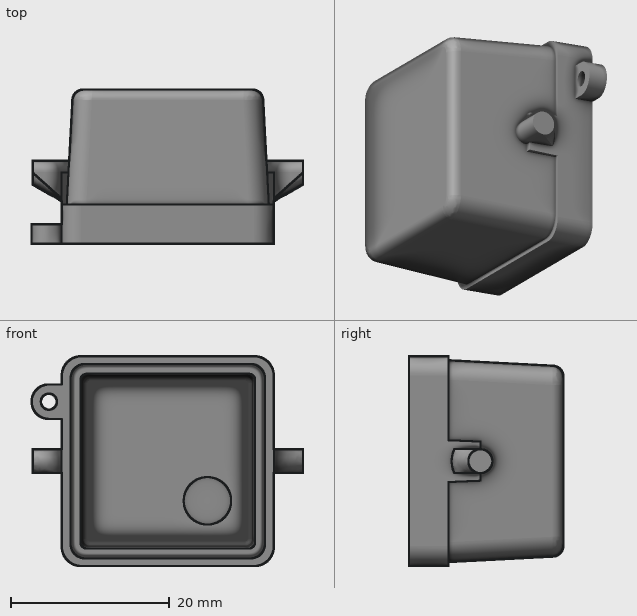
import cadquery as cq

depth = 19.5
rim_width = 26.8
rim_height = 26.5
rim_depth = 5.0
rim_corner = 2.5
mouth_size = 24.52
mouth_corner = 1.8

body_size = 25.48
body_draft = 3.0
body_corner = 2.5
body_back_fillet = 1.45

recess_depth = 3.25
pocket_size = 22.05
pocket_draft = 1.5
pocket_corner = 0.85
pocket_fillet = 0.55
floor_thickness = 2.25
mark_diameter = 6.0
mark_offset = 5.0
mark_depth = 0.3

pin_radius = 1.5
pin_tip_x = 17.05
pin_y = 9.0
pad_half_height = 2.45
pad_base_half_height = 2.65
web_root_y = 5.38
web_root_crown = 0.35
web_tip_flank = 0.017

lug_x = -15.0
lug_z = 7.5
lug_radius = 2.2
lug_hole_diameter = 2.0
lug_thickness = 2.5


def section(y):
    """Workplane at depth y whose extrusions go towards +Y; its local x is -X."""
    return cq.Workplane(cq.Plane(origin=(0, y, 0), xDir=(-1, 0, 0), normal=(0, 1, 0)))


def rounded_block(width, height, corner, start, length, taper=0.0):
    """Block along +Y, narrowing by the taper angle, with corners of constant radius."""
    block = section(start).rect(width, height).extrude(length, taper=taper)
    return block.edges("not(#Y)").fillet(corner)


def make_pin():
    """Right-hand pin with its pad and tapering web, reaching in to the cover wall."""
    pad_x = rim_width / 2
    pad_inner_x = pocket_size / 2
    pad = (
        cq.Workplane("YZ", origin=(pad_inner_x, 0, 0))
        .moveTo(rim_depth, -pad_base_half_height)
        .lineTo(pin_y, -pad_half_height)
        .lineTo(pin_y, pad_half_height)
        .lineTo(rim_depth, pad_base_half_height)
        .close()
        .extrude(pad_x - pad_inner_x)
    )
    pin = (
        cq.Workplane("YZ", origin=(pad_inner_x, 0, 0))
        .center(pin_y, 0)
        .circle(pin_radius)
        .extrude(pin_tip_x - pad_inner_x)
    )
    root_flank_y = web_root_y + web_root_crown
    tip_flank_y = pin_y - web_tip_flank
    web = (
        cq.Workplane("YZ", origin=(pad_x, 0, 0))
        .moveTo(pin_y, -pin_radius)
        .lineTo(pin_y, pin_radius)
        .lineTo(root_flank_y, pin_radius)
        .threePointArc((web_root_y, 0), (root_flank_y, -pin_radius))
        .close()
        .workplane(offset=pin_tip_x - pad_x)
        .moveTo(pin_y, -pin_radius)
        .lineTo(pin_y, pin_radius)
        .lineTo(tip_flank_y, pin_radius)
        .threePointArc((tip_flank_y - pin_radius, 0), (tip_flank_y, -pin_radius))
        .close()
        .loft(ruled=True)
    )
    return pad.union(pin).union(web)


def make_lug():
    lug_reach = -(rim_width + mouth_size) / 4 - lug_x
    disc = section(0).center(-lug_x, lug_z).circle(lug_radius).extrude(lug_thickness)
    neck = (
        section(0)
        .center(-lug_x - lug_reach / 2, lug_z)
        .rect(lug_reach, 2 * lug_radius)
        .extrude(lug_thickness)
    )
    hole = section(0).center(-lug_x, lug_z).circle(lug_hole_diameter / 2).extrude(lug_thickness)
    return disc.union(neck).cut(hole)


def make_cavity():
    floor_y = depth - floor_thickness
    recess = rounded_block(mouth_size, mouth_size, mouth_corner, 0, recess_depth)
    pocket = rounded_block(
        pocket_size, pocket_size, pocket_corner, recess_depth, floor_y - recess_depth, pocket_draft
    )
    pocket = pocket.faces(">Y").edges().fillet(pocket_fillet)
    mark = (
        section(floor_y)
        .center(-mark_offset, -mark_offset)
        .circle(mark_diameter / 2)
        .extrude(mark_depth)
    )
    return recess.union(pocket).union(mark)


rim = rounded_block(rim_width, rim_height, rim_corner, 0, rim_depth)
body = rounded_block(body_size, body_size, body_corner, rim_depth, depth - rim_depth, body_draft)
body = body.faces(">Y").edges().fillet(body_back_fillet)
right_pin = make_pin()
left_pin = right_pin.mirror("YZ")

result = rim.union(body).union(right_pin).union(left_pin).union(make_lug()).cut(make_cavity())